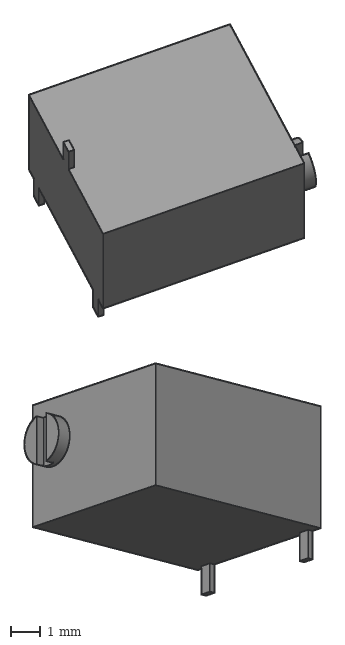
import cadquery as cq

body_width = 6.35
body_length = 7.45
body_height = 4.34

overall_height = 6.36
pin_length = (overall_height - body_height) / 2
pin_width = 0.445
pin_thickness = 0.21
bottom_pin_offset = 2.54

overall_length = 7.95
screw_diameter = 1.78
screw_length = overall_length - body_length
screw_x = 2.15
screw_z = 0.635
slot_width = 0.485
slot_depth = 0.31


def make_pin(x, side):
    """Pin at x, standing on the top (side = 1) or bottom (side = -1) face."""
    y = (pin_thickness - body_length) / 2
    z = side * (body_height + pin_length) / 2
    return cq.Workplane("XY").box(pin_width, pin_thickness, pin_length).translate((x, y, z))


def make_screw():
    """Round screw head pointing along +Y, with a vertical driver slot."""
    back_y = body_length / 2
    head = (
        cq.Workplane("XZ", origin=(screw_x, back_y, screw_z))
        .circle(screw_diameter / 2)
        .extrude(-screw_length)
    )
    slot_y = back_y + screw_length - slot_depth / 2
    slot = cq.Workplane("XY").box(slot_width, slot_depth, screw_diameter)
    return head.cut(slot.translate((screw_x, slot_y, screw_z)))


result = cq.Workplane("XY").box(body_width, body_length, body_height)
for pin_x, pin_side in ((0, 1), (-bottom_pin_offset, -1), (bottom_pin_offset, -1)):
    result = result.union(make_pin(pin_x, pin_side))
result = result.union(make_screw())